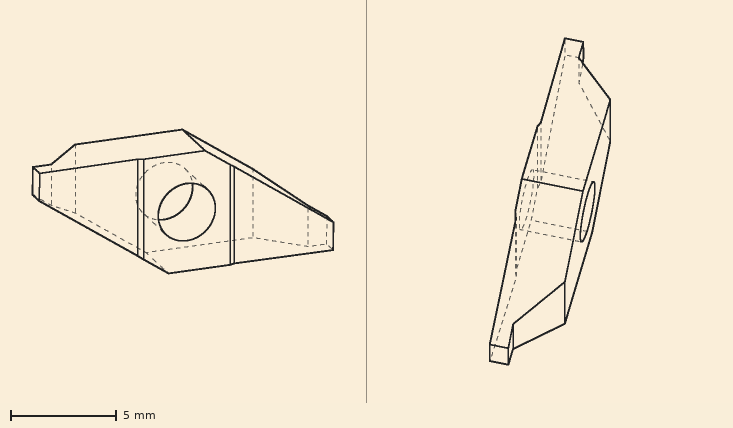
import cadquery as cq

length = 15.0
height = 6.0
thickness = 3.0

tip_height = 1.41
long_edge = 8.43
end_lean = 0.022
hole_diameter = 2.91

tip_step = 2.04
tip_length = 0.96
bevel_length = 2.01

tip_setback = 0.048
relief_depth = 0.102
pad_half_length = 2.2
ramp_length = 0.25

half_length = length / 2
half_height = height / 2
half_thickness = thickness / 2


def make_side_profile():
    """Six-sided outline extruded through the thickness."""
    edge_end = half_length - long_edge
    tip_z = tip_height - half_height
    outline = [
        (-half_length + end_lean, half_height),
        (-edge_end, half_height),
        (half_length, tip_z),
        (half_length - end_lean, -half_height),
        (edge_end, -half_height),
        (-half_length, -tip_z),
    ]
    profile = cq.Workplane("YZ").polyline(outline).close()
    return profile.extrude(half_thickness, both=True)


def make_plan_profile():
    """Outline seen along Z, symmetric about the XZ plane."""
    tip_x = -half_thickness + tip_step
    shoulder_y = half_length - tip_length
    relief_x = half_thickness - relief_depth
    positive_y_side = [
        (-half_thickness, shoulder_y - bevel_length),
        (tip_x, shoulder_y),
        (tip_x, half_length),
        (half_thickness - tip_setback, half_length),
        (relief_x, pad_half_length + ramp_length),
        (half_thickness, pad_half_length),
    ]
    negative_y_side = [(x, -y) for x, y in reversed(positive_y_side)]
    profile = cq.Workplane("XY").polyline(positive_y_side + negative_y_side).close()
    return profile.extrude(half_height, both=True)


def make_hole():
    """Plain hole through the thickness at the centre."""
    hole_start = cq.Workplane("YZ", origin=(-half_thickness, 0, 0))
    return hole_start.circle(hole_diameter / 2).extrude(thickness)


result = make_side_profile().intersect(make_plan_profile()).cut(make_hole())